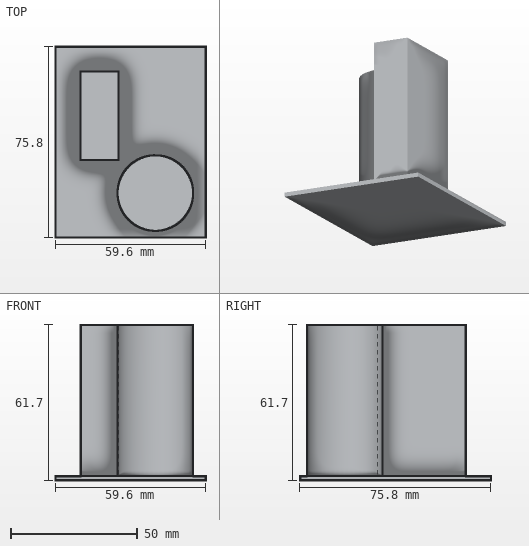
import cadquery as cq

plate_width = 59.6
plate_depth = 75.8
plate_thickness = 1.7

body_height = 60.0

block_width = 15.0
block_depth = 35.0
block_edge_inset = 10.0

cylinder_diameter = 30.0
cylinder_inset_x = 20.0
cylinder_inset_y = 17.7


def make_plate():
    """Thin plate with its -X, -Y, bottom corner at the origin."""
    return cq.Workplane("XY").box(plate_width, plate_depth, plate_thickness, centered=False)


def make_block():
    """Tall rectangular block standing on the plate."""
    corner = (block_edge_inset, plate_depth - block_edge_inset - block_depth, plate_thickness)
    block = cq.Workplane("XY").box(block_width, block_depth, body_height, centered=False)
    return block.translate(corner)


def make_cylinder():
    """Upright cylinder standing on the plate, level with the block."""
    return (
        cq.Workplane("XY", origin=(plate_width - cylinder_inset_x, cylinder_inset_y, plate_thickness))
        .circle(cylinder_diameter / 2)
        .extrude(body_height)
    )


result = make_plate().union(make_block()).union(make_cylinder())